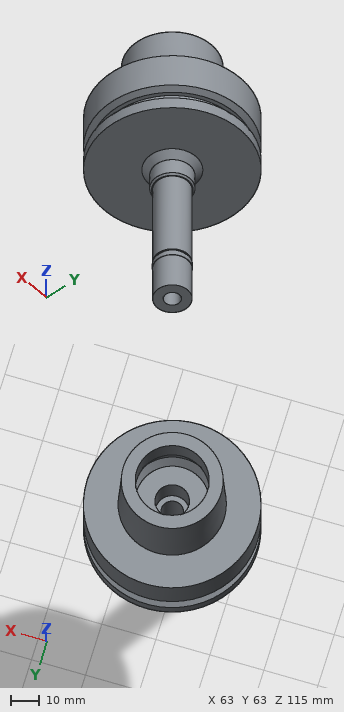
import cadquery as cq

top_z = 115.0
flange_top_z = 89.9
groove_upper_lip_z = 75.3
groove_lower_lip_z = 68.9
flange_bottom_z = 64.0
collar_top_z = 61.3
collar_bottom_z = 54.9
neck_groove_top_z = 17.9
neck_groove_bottom_z = 17.2
tip_length = 15.0

flange_radius = 31.5
taper_top_radius = 18.0
taper_base_radius = 19.2
gripper_groove_radius = 27.5
collar_radius = 8.0
shank_radius = 7.0
neck_groove_radius = 6.4
end_band_radius = 7.1

lip_chamfer_width = 2.4
lip_chamfer_height = 1.3
collar_chamfer = 0.7

socket_radius = 13.1
mouth_depth = 9.9
recess_radius = 15.6
recess_end_depth = 19.3
socket_floor_z = top_z - recess_end_depth - (recess_radius - socket_radius)
counterbore_radius = 6.1
counterbore_depth = 11.5
holder_bore_radius = 4.0

tip_radius = shank_radius
tip_bore_radius = 3.2


def vertical_bore(radius, bottom_z, height):
    return cq.Workplane("XY").workplane(offset=bottom_z).circle(radius).extrude(height)


def make_holder_blank():
    """Revolved taper, grooved flange, collar and shank."""
    lip_radius = flange_radius - lip_chamfer_width
    cone_radius = collar_radius + flange_bottom_z - collar_top_z
    groove_top_z = groove_upper_lip_z - lip_chamfer_height
    groove_bottom_z = groove_lower_lip_z + lip_chamfer_height
    profile = [
        (0, top_z),
        (taper_top_radius, top_z),
        (taper_base_radius, flange_top_z),
        (flange_radius, flange_top_z),
        (flange_radius, groove_upper_lip_z),
        (lip_radius, groove_top_z),
        (gripper_groove_radius, groove_top_z),
        (gripper_groove_radius, groove_bottom_z),
        (lip_radius, groove_bottom_z),
        (flange_radius, groove_lower_lip_z),
        (flange_radius, flange_bottom_z),
        (cone_radius, flange_bottom_z),
        (collar_radius, collar_top_z),
        (collar_radius, collar_bottom_z),
        (collar_radius - collar_chamfer, collar_bottom_z - collar_chamfer),
        (shank_radius, collar_bottom_z - collar_chamfer),
        (shank_radius, neck_groove_top_z),
        (neck_groove_radius, neck_groove_top_z),
        (neck_groove_radius, neck_groove_bottom_z),
        (end_band_radius, neck_groove_bottom_z),
        (end_band_radius, tip_length),
        (0, tip_length),
    ]
    return cq.Workplane("XZ").polyline(profile).close().revolve(360, (0, 0), (0, 1))


def make_socket():
    """Void of the socket: straight mouth, wider undercut, 45 degree cone back to the mouth radius."""
    profile = [
        (0, top_z),
        (socket_radius, top_z),
        (socket_radius, top_z - mouth_depth),
        (recess_radius, top_z - mouth_depth),
        (recess_radius, top_z - recess_end_depth),
        (socket_radius, socket_floor_z),
        (0, socket_floor_z),
    ]
    return cq.Workplane("XZ").polyline(profile).close().revolve(360, (0, 0), (0, 1))


def make_holder():
    """Holder with its socket, counterbore and through bore."""
    counterbore_floor_z = socket_floor_z - counterbore_depth
    counterbore = vertical_bore(counterbore_radius, counterbore_floor_z, counterbore_depth)
    through_bore = vertical_bore(holder_bore_radius, tip_length, top_z - tip_length)
    return make_holder_blank().cut(make_socket()).cut(counterbore).cut(through_bore)


def make_tip():
    """Plain sleeve seated against the lower end of the holder."""
    return cq.Workplane("XY").circle(tip_radius).circle(tip_bore_radius).extrude(tip_length)


holder = make_holder()
tip = make_tip()

result = cq.Compound.makeCompound([holder.val(), tip.val()])